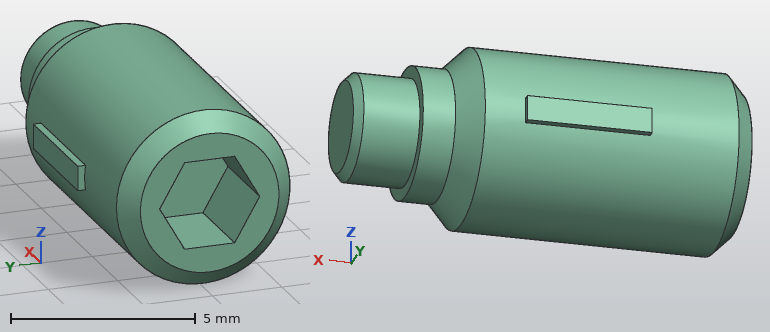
import cadquery as cq
import math

total_length = 11.0
body_diameter = 5.0
body_end_x = 7.63
body_chamfer = 0.51
collar_diameter = 3.7
collar_end_x = 9.2
pin_diameter = 3.0
pin_chamfer = 0.23

socket_across_flats = 2.5
socket_depth = 2.5

patch_start_x = 3.0
patch_length = 3.5
patch_width = 0.7
patch_protrusion = 0.2
patch_embed = 0.5

body_radius = body_diameter / 2
collar_radius = collar_diameter / 2
pin_radius = pin_diameter / 2
cone_end_x = body_end_x + (body_radius - collar_radius)
socket_across_corners = socket_across_flats / math.cos(math.pi / 6)


def turned_body():
    """Body, cone, collar and pin revolved about the X axis."""
    return (
        cq.Workplane("XY")
        .lineTo(0, body_radius - body_chamfer)
        .lineTo(body_chamfer, body_radius)
        .lineTo(body_end_x, body_radius)
        .lineTo(cone_end_x, collar_radius)
        .lineTo(collar_end_x, collar_radius)
        .lineTo(collar_end_x, pin_radius)
        .lineTo(total_length - pin_chamfer, pin_radius)
        .lineTo(total_length, pin_radius - pin_chamfer)
        .lineTo(total_length, 0)
        .close()
        .revolve(360, (0, 0, 0), (1, 0, 0))
    )


def hex_socket():
    """Hexagonal recess with two corners on the Y axis and a flat floor."""
    return cq.Workplane("YZ").polygon(6, socket_across_corners).extrude(socket_depth)


def locking_patch():
    """Rectangular strip standing slightly proud of the body on the +Y side."""
    patch_height = patch_protrusion + patch_embed
    return (
        cq.Workplane("XY")
        .box(patch_length, patch_height, patch_width, centered=(False, False, True))
        .translate((patch_start_x, body_radius - patch_embed, 0))
    )


result = turned_body().union(locking_patch()).cut(hex_socket())